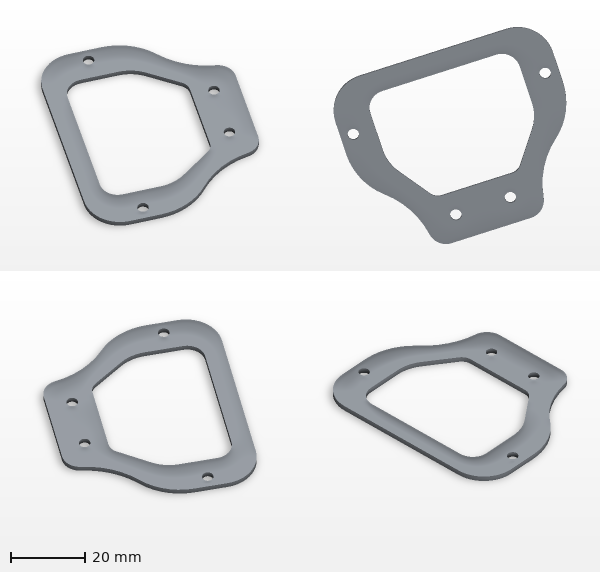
import cadquery as cq
import math

width = 61.777
height = 51.5
thickness = 1.5
overall_z = 1.62
half_width = width / 2

bottom_corner_radius = 10.0
shoulder_radius = 18.0
neck_radius = 23.5
top_corner_radius = 5.0
left_shoulder_y = 19.3
right_shoulder_y = 18.8
left_top_corner_x = 11.45
right_top_corner_x = 11.12

window_half_width = 21.2
window_bottom = 5.7
window_top = 38.3
window_top_half_width = 11.75
window_slant = math.radians(36)
window_bottom_radius = 5.0
window_shoulder_radius = 12.0
window_top_radius = 3.6

hole_diameter = 3.1
top_hole_spacing = 15.5
top_hole_center_x = -0.2
top_hole_y = 44.45
side_hole_spacing = 54.5
side_hole_center_x = -0.1
side_hole_y = 14.72


def point_toward(start, end, distance):
    """Point at the given distance from start on the line to end."""
    ratio = distance / math.dist(start, end)
    return (start[0] + ratio * (end[0] - start[0]), start[1] + ratio * (end[1] - start[1]))


def arc_middle(center, radius, start, end):
    """Middle point of the shorter arc from start to end."""
    chord_middle = ((start[0] + end[0]) / 2, (start[1] + end[1]) / 2)
    return point_toward(center, chord_middle, radius)


def neck_center_between(shoulder, top):
    """Centre of the concave arc tangent to the shoulder arc and the top corner arc."""
    to_shoulder = neck_radius + shoulder_radius
    to_top = neck_radius + top_corner_radius
    span = math.dist(shoulder, top)
    along = (to_shoulder**2 - to_top**2 + span**2) / (2 * span)
    across = math.sqrt(to_shoulder**2 - along**2)
    foot = point_toward(shoulder, top, along)
    direction = ((top[0] - shoulder[0]) / span, (top[1] - shoulder[1]) / span)
    return (foot[0] + across * direction[1], foot[1] - across * direction[0])


def half_blank(shoulder_y, top_corner_x):
    """Right-hand half of the solid plate, bounded by X = 0."""
    bottom_center = (half_width - bottom_corner_radius, bottom_corner_radius)
    shoulder_center = (half_width - shoulder_radius, shoulder_y)
    top_center = (top_corner_x, height - top_corner_radius)
    neck_center = neck_center_between(shoulder_center, top_center)

    bottom_start = (bottom_center[0], 0)
    side_start = (half_width, bottom_center[1])
    side_end = (half_width, shoulder_y)
    shoulder_end = point_toward(shoulder_center, neck_center, shoulder_radius)
    neck_end = point_toward(top_center, neck_center, top_corner_radius)
    top_start = (top_corner_x, height)

    return (
        cq.Workplane("XY")
        .lineTo(*bottom_start)
        .threePointArc(arc_middle(bottom_center, bottom_corner_radius, bottom_start, side_start), side_start)
        .lineTo(*side_end)
        .threePointArc(arc_middle(shoulder_center, shoulder_radius, side_end, shoulder_end), shoulder_end)
        .threePointArc(arc_middle(neck_center, neck_radius, shoulder_end, neck_end), neck_end)
        .threePointArc(arc_middle(top_center, top_corner_radius, neck_end, top_start), top_start)
        .lineTo(0, height)
        .close()
        .extrude(thickness)
    )


def blank():
    right = half_blank(right_shoulder_y, right_top_corner_x)
    left = half_blank(left_shoulder_y, left_top_corner_x).mirror("YZ")
    return right.union(left, clean=True)


def window():
    """Six-sided cutter with rounded corners."""
    shoulder_drop = (window_half_width - window_top_half_width) / math.tan(window_slant)
    shoulder_y = window_top - shoulder_drop
    right_corners = [
        (window_half_width, window_bottom),
        (window_half_width, shoulder_y),
        (window_top_half_width, window_top),
    ]
    left_corners = [(-x, y) for x, y in reversed(right_corners)]
    cutter = cq.Workplane("XY").polyline(right_corners + left_corners).close().extrude(thickness)

    radii = [window_bottom_radius, window_shoulder_radius, window_top_radius]
    for (x, y), radius in zip(right_corners, radii):
        for corner_x in (x, -x):
            corner_edge = cq.selectors.NearestToPointSelector((corner_x, y, thickness / 2))
            cutter = cutter.edges("|Z").edges(corner_edge).fillet(radius)
    return cutter


def hole_pair(center_x, y, spacing):
    centers = [(center_x - spacing / 2, y), (center_x + spacing / 2, y)]
    return cq.Workplane("XY").pushPoints(centers).circle(hole_diameter / 2).extrude(thickness)


def tilted(plate):
    """Centre the plate on the origin and tilt it about Y, lowering the +X side."""
    tilt = math.degrees(math.asin((overall_z - thickness) / width))
    centred = plate.translate((0, -height / 2, -thickness / 2))
    return centred.rotate((0, 0, 0), (0, 1, 0), tilt)


plate = (
    blank()
    .cut(window())
    .cut(hole_pair(top_hole_center_x, top_hole_y, top_hole_spacing))
    .cut(hole_pair(side_hole_center_x, side_hole_y, side_hole_spacing))
)
result = tilted(plate)